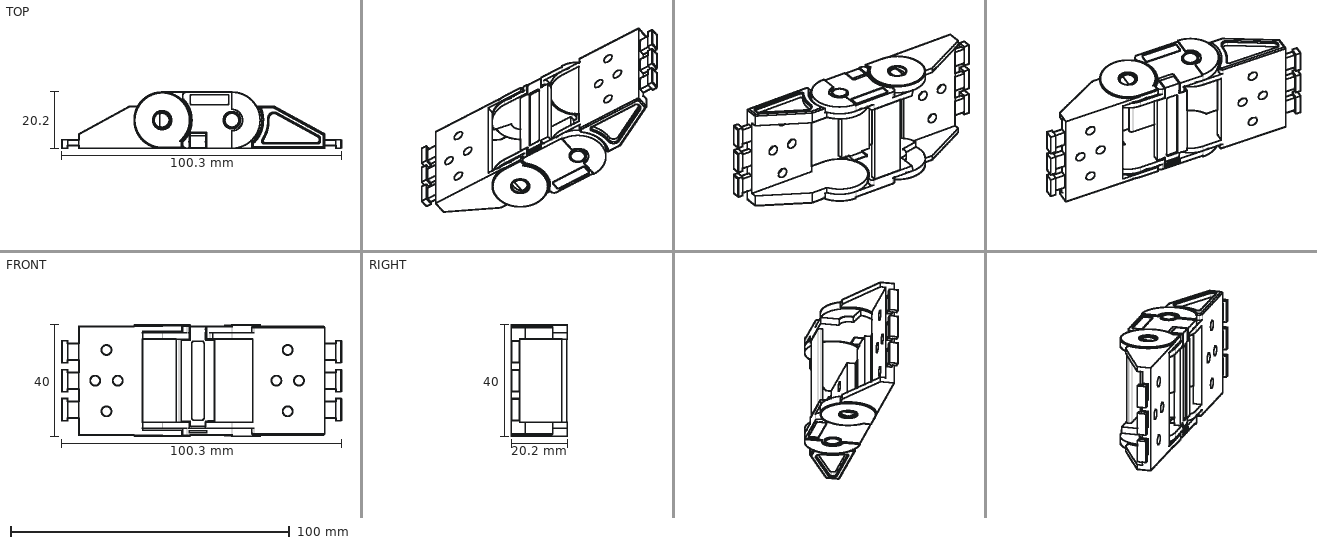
import cadquery as cq
import math

PIVOT_X = 12.5
BARREL_R = 10.1
PIVOT_Y = BARREL_R
BACK_Y = 2 * BARREL_R
BARREL_Z = 20.0
SIDE_Z = 19.5
LAYER_Z = 17.1
INNER_Z = 14.9
EAR_CLEARANCE = 0.2

PLATE_T = 3.1
LEFT_END_X = -42.4
LEFT_WINDOW_X = -19.5
RIGHT_END_X = 45.8
RIGHT_WINDOW_X = 19.9
SHOULDER_Y = 15.0
TIP_Y = 5.1
SLOPE_RUN = 18.1
LEFT_WALL_INNER_Z = 17.7
LEFT_TOE_X = -5.4
TOE_Y = 2.9
RIM_CHAMFER = 0.3

SCREW_R = 1.75
SCREW_X = 32.5
SCREW_DX = 4.05
SCREW_DZ = 11.0

SOCKET_R = 10.75
SOCKET_BEVEL = 0.6
RIGHT_TOE_X = 19.6
TOE_ROUND = 0.8
WALL_BEVEL = 0.5
POCKET_BORDER = 2.0
POCKET_R = 13.3
POCKET_DEPTH = 2.0
POCKET_CORNER = 0.6
POCKET_TOP_CORNER = 1.8
POCKET_RIM_BEVEL = 0.4

HOOK_PITCH = 10.4
HOOK_STEM_H = 6.0
HOOK_HEAD_H = 8.0
HOOK_STEM_Y = (1.0, 3.0)
HOOK_HEAD_Y = 3.1
HOOK_STEM_L = 4.0
HOOK_HEAD_T = 2.055
HOOK_CHAMFER = 0.25

PIN_R = 2.9
PIN_HOLE_R = 3.1
PIN_CHAMFER = 0.4
LEFT_PIN_Z = 19.5
RIGHT_PIN_Z = 19.8
RAMP_X = -0.9
RAMP_DROP = 1.2
RAISED_RING_R = 3.85
HUB_R = 3.3

LINK_END_X = 5.2
LINK_SOCKET_R = 10.7
LINK_INNER_END_X = 5.6
LINK_INNER_SOCKET_R = 10.6
LINK_CORNER = 1.5
LINK_INNER_CORNER = 1.0
BAR_X = (-7.5, 4.0)
BAR_Y = (18.1, 20.0)
BAR_ROUND = 0.9
EAR_CUT_LEFT_Y = 7.6
EAR_CUT_HUB_Y = 9.6
EAR_CUT_LEAN = 0.5
LABEL_X = (-2.4, 11.4)
LABEL_Y = (15.6, 19.3)
LABEL_DEPTH = 0.3
LABEL_CORNER = 0.5

COVER_X = 0.3
COVER_W = 12.0
COVER_HALF_H = 14.5
COVER_T = 2.4
COVER_FRONT_Y = 0.2
COVER_TAB_W = 5.6
COVER_TAB_Y = 5.4
COVER_TOP_Z = 19.4
COVER_BOTTOM_Z = -16.4
COVER_TAB_ROUND = 0.9
COVER_POCKET_W = 4.4
COVER_POCKET_H = 28.4
COVER_POCKET_DEPTH = 0.6
COVER_POCKET_CORNER = 0.8
RECESS_W = 6.3
RECESS_Y = 5.7
RECESS_CORNER = 0.7
GROOVE_Z = (-18.7, -17.9)
GROOVE_DEPTH = 1.0


def box(x0, x1, y0, y1, z0, z1):
    """Axis-aligned block between two corners."""
    return cq.Workplane("XY").box(x1 - x0, y1 - y0, z1 - z0, centered=False).translate((x0, y0, z0))


def cylinder(x, radius, z0, z1):
    """Cylinder on the hinge axis at the given X."""
    return cq.Workplane("XY", origin=(x, PIVOT_Y, z0)).circle(radius).extrude(z1 - z0)


def prism(points, z0, z1):
    """Extrusion along Z of a straight-sided XY outline."""
    return cq.Workplane("XY", origin=(0, 0, z0)).polyline(points).close().extrude(z1 - z0)


def both_sides(upper):
    """The upper feature together with its mirror image below Z = 0."""
    return upper.union(upper.mirror("XY"))


def wall_outline(end_x, toe_x):
    """Side wall outline: sloped edge at the outer end, square shoulder at the hinge axis."""
    side = math.copysign(1, end_x)
    return [
        (end_x, 0),
        (toe_x, 0),
        (toe_x, TOE_Y),
        (side * PIVOT_X, PIVOT_Y),
        (side * PIVOT_X, SHOULDER_Y),
        (end_x - side * SLOPE_RUN, SHOULDER_Y),
        (end_x, TIP_Y),
    ]


def hooks(end_x):
    """Three T-shaped strap hooks on the outer end of a bracket."""
    side = math.copysign(1, end_x)
    head_x = end_x + side * HOOK_STEM_L
    tip_x = head_x + side * HOOK_HEAD_T
    head_x0, head_x1 = sorted((head_x, tip_x))
    stem_x0, stem_x1 = sorted((end_x, head_x))
    half_stem = HOOK_STEM_H / 2
    half_head = HOOK_HEAD_H / 2
    stem = box(stem_x0, stem_x1, *HOOK_STEM_Y, -half_stem, half_stem)
    head = box(head_x0, head_x1, 0, HOOK_HEAD_Y, -half_head, half_head)
    if side > 0:
        head = head.faces(">X").edges().chamfer(HOOK_CHAMFER)
    hook = stem.union(head)
    row = hook
    for step in (-1, 1):
        row = row.union(hook.translate((0, 0, step * HOOK_PITCH)))
    return row


def screw_holes(center_x):
    """Diamond pattern of four through holes in a bracket plate."""
    spots = [(-SCREW_DX, 0), (SCREW_DX, 0), (0, SCREW_DZ), (0, -SCREW_DZ)]
    plane = cq.Workplane("XZ", origin=(center_x, PLATE_T, 0))
    return plane.pushPoints(spots).circle(SCREW_R).extrude(PLATE_T)


def make_left_bracket():
    """Bracket whose outer ears carry the holes for the link's pins."""
    wall = prism(wall_outline(LEFT_END_X, LEFT_TOE_X), LEFT_WALL_INNER_Z, SIDE_Z)
    barrel = cylinder(-PIVOT_X, BARREL_R, LAYER_Z, BARREL_Z)
    barrel = barrel.union(box(-PIVOT_X, LEFT_TOE_X, 0, TOE_Y, LEFT_WALL_INNER_Z, BARREL_Z))
    barrel = barrel.faces(">Z").edges().chamfer(RIM_CHAMFER)
    hole = cylinder(-PIVOT_X, PIN_HOLE_R, LAYER_Z, BARREL_Z)
    hole_rim = (
        cq.Workplane("XY", origin=(-PIVOT_X, PIVOT_Y, BARREL_Z))
        .circle(PIN_HOLE_R + RIM_CHAMFER)
        .extrude(-RIM_CHAMFER, taper=45)
    )
    side = wall.union(barrel).cut(hole).cut(hole_rim)
    plate = box(LEFT_END_X, LEFT_WINDOW_X, 0, PLATE_T, -LEFT_WALL_INNER_Z, LEFT_WALL_INNER_Z)
    plate = plate.cut(cylinder(-PIVOT_X, BARREL_R + EAR_CLEARANCE, -LAYER_Z, LAYER_Z))
    body = plate.union(both_sides(side)).cut(screw_holes(-SCREW_X))
    return body.union(hooks(LEFT_END_X))


def right_pocket():
    """Triangular pocket, without its rim bevel, in the upper side wall of the right bracket."""
    slope = math.atan2(SHOULDER_Y - TIP_Y, SLOPE_RUN)
    right_x = RIGHT_END_X - POCKET_BORDER
    right_y = TIP_Y + (POCKET_BORDER * math.sin(slope) - POCKET_BORDER) / math.cos(slope)
    top_y = right_y + (right_x - PIVOT_X) * math.tan(slope)
    floor_z = SIDE_Z - POCKET_DEPTH
    outline = [
        (PIVOT_X, POCKET_BORDER),
        (right_x, POCKET_BORDER),
        (right_x, right_y),
        (PIVOT_X, top_y),
    ]
    pocket = prism(outline, floor_z, SIDE_Z)
    pocket = pocket.cut(cylinder(PIVOT_X, POCKET_R, floor_z, SIDE_Z))
    pocket = pocket.edges("|Z and >Y").fillet(POCKET_TOP_CORNER)
    for corner in ("|Z and <X", "|Z and >X"):
        pocket = pocket.edges(corner).fillet(POCKET_CORNER)
    return pocket


def right_toe_rounding():
    """Material outside the rounded front corner of the right bracket's outer wall."""
    corner = box(
        RIGHT_TOE_X - TOE_ROUND, RIGHT_TOE_X + TOE_ROUND, 0, TOE_ROUND, LAYER_Z, SIDE_Z
    )
    round_center = cq.Workplane("XY", origin=(RIGHT_TOE_X + TOE_ROUND, TOE_ROUND, LAYER_Z))
    return corner.cut(round_center.circle(TOE_ROUND).extrude(SIDE_Z - LAYER_Z))


def make_right_bracket():
    """Bracket whose inner ears carry pins that turn in the link."""
    wall = prism(wall_outline(RIGHT_END_X, RIGHT_TOE_X), INNER_Z, SIDE_Z)
    wall = wall.faces(">Z").edges().chamfer(WALL_BEVEL)
    wall = wall.cut(cylinder(PIVOT_X, SOCKET_R, LAYER_Z, SIDE_Z))
    wall = wall.cut(right_toe_rounding())
    socket_rim = (
        cq.Workplane("XY", origin=(PIVOT_X, PIVOT_Y, SIDE_Z))
        .circle(SOCKET_R + SOCKET_BEVEL)
        .extrude(-SOCKET_BEVEL, taper=45)
    )
    wall = wall.cut(socket_rim).cut(right_pocket())
    pocket_rim = wall.faces(">Z").val().innerWires()[0]
    wall = wall.newObject(pocket_rim.Edges()).chamfer(POCKET_RIM_BEVEL)
    ear = cylinder(PIVOT_X, BARREL_R, INNER_Z, LAYER_Z)
    ear_neck = box(PIVOT_X, RIGHT_WINDOW_X, 0, SHOULDER_Y, INNER_Z, LAYER_Z)
    pin = cylinder(PIVOT_X, PIN_R, INNER_Z, RIGHT_PIN_Z).faces(">Z").edges().chamfer(PIN_CHAMFER)
    side = wall.union(ear).union(ear_neck).union(pin)
    plate = box(RIGHT_WINDOW_X, RIGHT_END_X, 0, PLATE_T, -INNER_Z, INNER_Z)
    body = plate.union(both_sides(side)).cut(screw_holes(SCREW_X))
    return body.union(hooks(RIGHT_END_X))


def link_layer(far_x, end_x, z0, z1, corner_r):
    """Flat web of the link from a hinge axis to a rounded end beside the other barrel."""
    x0, x1 = sorted((far_x, end_x))
    web = box(x0, x1, 0, BACK_Y, z0, z1)
    end = "<X" if end_x < far_x else ">X"
    return web.edges("|Z").edges(end).fillet(corner_r)


def snap_pin():
    """Pin on the link's left ear, with a ramp that lets the bracket snap over it."""
    pin = cylinder(-PIVOT_X, PIN_R, INNER_Z, LEFT_PIN_Z).faces(">Z").edges().chamfer(PIN_CHAMFER)
    ramp = (
        cq.Workplane("XZ", origin=(-PIVOT_X, PIVOT_Y + PIN_R, LEFT_PIN_Z))
        .polyline([(RAMP_X, 0), (-PIN_R, 0), (-PIN_R, -RAMP_DROP)])
        .close()
        .extrude(2 * PIN_R)
    )
    return pin.cut(ramp)


def ear_cutaway():
    """Opening in the back outer quarter of the left ear, around the pin hub."""
    rim_x = -PIVOT_X - BARREL_R
    opening = prism(
        [
            (rim_x, EAR_CUT_LEFT_Y),
            (-PIVOT_X, EAR_CUT_HUB_Y),
            (-PIVOT_X, BACK_Y),
            (rim_x, BACK_Y),
        ],
        INNER_Z,
        LAYER_Z,
    )
    leaning_wall = (
        cq.Workplane("XZ", origin=(-PIVOT_X, BACK_Y, 0))
        .polyline([(0, INNER_Z), (EAR_CUT_LEAN, INNER_Z), (0, LAYER_Z)])
        .close()
        .extrude(BACK_Y - PIVOT_Y - HUB_R)
    )
    return opening.union(leaning_wall).cut(cylinder(-PIVOT_X, HUB_R, INNER_Z, LAYER_Z))


def link_side():
    """Upper side of the link: inner ear on the left axis, outer ear on the right axis."""
    inner = link_layer(-PIVOT_X, LINK_INNER_END_X, INNER_Z, LAYER_Z, LINK_INNER_CORNER)
    inner = inner.cut(cylinder(PIVOT_X, LINK_INNER_SOCKET_R, INNER_Z, LAYER_Z))
    inner = inner.union(cylinder(-PIVOT_X, BARREL_R, INNER_Z, LAYER_Z)).cut(ear_cutaway())

    outer = link_layer(PIVOT_X, -LINK_END_X, LAYER_Z, SIDE_Z, LINK_CORNER)
    outer = outer.cut(cylinder(-PIVOT_X, LINK_SOCKET_R, LAYER_Z, SIDE_Z))
    outer = outer.union(cylinder(PIVOT_X, BARREL_R, LAYER_Z, SIDE_Z))

    raised = cylinder(PIVOT_X, BARREL_R, SIDE_Z, BARREL_Z)
    raised = raised.cut(cylinder(PIVOT_X, RAISED_RING_R, SIDE_Z, BARREL_Z))
    raised = raised.intersect(box(PIVOT_X, PIVOT_X + BARREL_R, 0, BACK_Y, SIDE_Z, BARREL_Z))

    label = box(*LABEL_X, *LABEL_Y, SIDE_Z - LABEL_DEPTH, SIDE_Z).edges("|Z").fillet(LABEL_CORNER)
    pin_hole = cylinder(PIVOT_X, PIN_HOLE_R, LAYER_Z, BARREL_Z)
    return inner.union(outer).union(raised).cut(label).cut(pin_hole).union(snap_pin())


def make_link():
    """Middle link joining both hinges, with a bar across its back."""
    bar = box(*BAR_X, *BAR_Y, -INNER_Z, INNER_Z).edges("|Z and <X").fillet(BAR_ROUND)
    body = both_sides(link_side()).union(bar)
    half_recess = RECESS_W / 2
    recess = box(COVER_X - half_recess, COVER_X + half_recess, 0, RECESS_Y, -LAYER_Z, SIDE_Z)
    recess = recess.edges("|Z and >Y").fillet(RECESS_CORNER)
    groove = box(COVER_X - half_recess, COVER_X + half_recess, 0, GROOVE_DEPTH, *GROOVE_Z)
    bottom_clearance = box(COVER_X, LINK_INNER_END_X, 0, RECESS_Y, -LAYER_Z, -INNER_Z)
    return body.cut(recess).cut(groove).cut(bottom_clearance)


def make_cover():
    """Front cover strip, held in the link by a tab at each end."""
    half_w = COVER_W / 2
    half_tab = COVER_TAB_W / 2
    x0 = COVER_X - half_tab
    x1 = COVER_X + half_tab
    strip = box(COVER_X - half_w, COVER_X + half_w, COVER_FRONT_Y, COVER_T, -COVER_HALF_H, COVER_HALF_H)
    tongue = box(x0, x1, COVER_FRONT_Y, COVER_T, -INNER_Z, INNER_Z)
    top_tab = box(x0, x1, COVER_FRONT_Y, COVER_TAB_Y, INNER_Z, COVER_TOP_Z)
    top_tab = top_tab.edges(">Y and >Z").chamfer(COVER_TAB_ROUND)
    bottom_tab = box(x0, x1, COVER_FRONT_Y, COVER_TAB_Y, COVER_BOTTOM_Z, -INNER_Z)
    pocket = box(
        COVER_X - COVER_POCKET_W / 2,
        COVER_X + COVER_POCKET_W / 2,
        COVER_FRONT_Y,
        COVER_FRONT_Y + COVER_POCKET_DEPTH,
        -COVER_POCKET_H / 2,
        COVER_POCKET_H / 2,
    )
    pocket = pocket.edges("|Y").fillet(COVER_POCKET_CORNER)
    return strip.union(tongue).union(top_tab).union(bottom_tab).cut(pocket)


left_bracket = make_left_bracket()
right_bracket = make_right_bracket()
link = make_link()
cover = make_cover()

bodies = [left_bracket, right_bracket, link, cover]
result = cq.Compound.makeCompound([body.solids().val() for body in bodies])